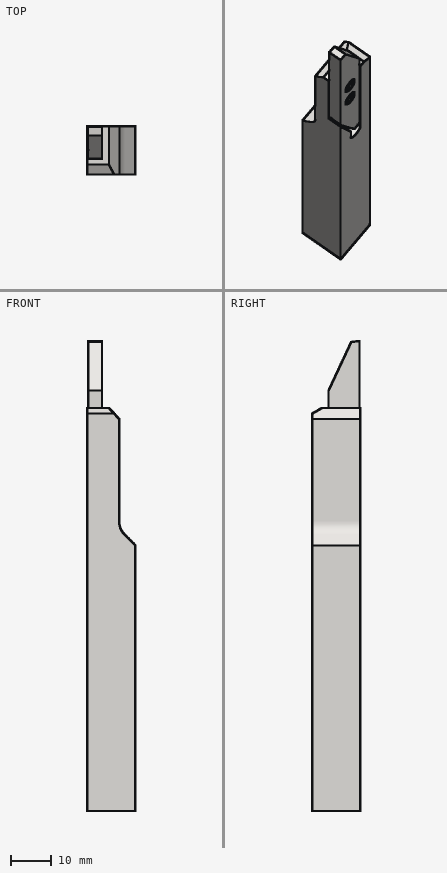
import cadquery as cq
import math

SHANK_SIDE = 12.0
SHANK_HEIGHT = 100.0
NECK_WIDTH = 8.0
SHOULDER_BOTTOM = 65.9
SHOULDER_RADIUS = 4.5
SHOULDER_ANGLE = math.radians(45)
TOP_CHAMFER_X = 2.6
TOP_CHAMFER_X_DROP = 2.8
TOP_CHAMFER_Y = 2.5
TOP_BEVEL_ANGLE = math.radians(30)
TOP_CHAMFER_Y_DROP = TOP_CHAMFER_Y * math.tan(TOP_BEVEL_ANGLE)

OVERALL_HEIGHT = 116.6
BLADE_LENGTH = 50.3
BLADE_WIDTH = 7.75
BLADE_THICKNESS = 3.5
BLADE_INSET = 0.25
BLADE_BACK_INSET = 0.2
BLADE_TIP_WIDTH = 2.1
BLADE_TIP_SLOPE = math.radians(7)
BLADE_END_ANGLE = math.radians(25)
BLADE_BACK_Y = SHANK_SIDE - BLADE_BACK_INSET
BLADE_FRONT_Y = BLADE_BACK_Y - BLADE_WIDTH
BLADE_BOTTOM = OVERALL_HEIGHT - BLADE_LENGTH
BLADE_END_RISE = (BLADE_WIDTH - BLADE_TIP_WIDTH) / math.tan(BLADE_END_ANGLE)

POCKET_FRONT_GAP = 0.2
POCKET_DEPTH = BLADE_INSET + BLADE_THICKNESS
POCKET_FRONT_Y = BLADE_FRONT_Y - POCKET_FRONT_GAP
POCKET_RAMP_TOP = 78.0
POCKET_RAMP_ANGLE = math.radians(22.5)
RELIEF_WIDTH = 3.9
RELIEF_SIDE_BOTTOM = 64.2
RELIEF_BOTTOM = 63.1

PIN_RADIUS = 1.9
PIN_TIP_RADIUS = 1.55
PIN_Y = (BLADE_BACK_Y + BLADE_FRONT_Y) / 2
PIN_TOP_Z = 95.0
PIN_SPACING = 7.5


def make_shank():
    """Square bar narrowed above a sloped shoulder and bevelled on the +X and -Y sides of its top."""
    arc_end_x = NECK_WIDTH + SHOULDER_RADIUS * (1 - math.cos(SHOULDER_ANGLE))
    arc_end_z = SHOULDER_BOTTOM + (SHANK_SIDE - arc_end_x) * math.tan(SHOULDER_ANGLE)
    arc_start_z = arc_end_z + SHOULDER_RADIUS * math.sin(SHOULDER_ANGLE)
    arc_mid_x = NECK_WIDTH + SHOULDER_RADIUS * (1 - math.cos(SHOULDER_ANGLE / 2))
    arc_mid_z = arc_start_z - SHOULDER_RADIUS * math.sin(SHOULDER_ANGLE / 2)
    bar = (
        cq.Workplane("XZ")
        .lineTo(SHANK_SIDE, 0)
        .lineTo(SHANK_SIDE, SHOULDER_BOTTOM)
        .lineTo(arc_end_x, arc_end_z)
        .threePointArc((arc_mid_x, arc_mid_z), (NECK_WIDTH, arc_start_z))
        .lineTo(NECK_WIDTH, SHANK_HEIGHT - TOP_CHAMFER_X_DROP)
        .lineTo(NECK_WIDTH - TOP_CHAMFER_X, SHANK_HEIGHT)
        .lineTo(0, SHANK_HEIGHT)
        .close()
        .extrude(-SHANK_SIDE)
    )
    bevel = (
        cq.Workplane("YZ")
        .moveTo(0, SHANK_HEIGHT)
        .lineTo(TOP_CHAMFER_Y, SHANK_HEIGHT)
        .lineTo(0, SHANK_HEIGHT - TOP_CHAMFER_Y_DROP)
        .close()
        .extrude(SHANK_SIDE)
    )
    return bar.cut(bevel)


def make_pocket():
    """Recess in the -X face: a ramp down from the +Y side into a round-bottomed relief."""
    relief_back_y = POCKET_FRONT_Y + RELIEF_WIDTH
    relief_mid_y = POCKET_FRONT_Y + RELIEF_WIDTH / 2
    ramp_foot_z = POCKET_RAMP_TOP - (SHANK_SIDE - relief_back_y) / math.tan(POCKET_RAMP_ANGLE)
    return (
        cq.Workplane("YZ")
        .moveTo(POCKET_FRONT_Y, SHANK_HEIGHT)
        .lineTo(SHANK_SIDE, SHANK_HEIGHT)
        .lineTo(SHANK_SIDE, POCKET_RAMP_TOP)
        .lineTo(relief_back_y, ramp_foot_z)
        .lineTo(relief_back_y, RELIEF_SIDE_BOTTOM)
        .threePointArc((relief_mid_y, RELIEF_BOTTOM), (POCKET_FRONT_Y, RELIEF_SIDE_BOTTOM))
        .close()
        .extrude(POCKET_DEPTH)
    )


def make_blade():
    """Flat blade with its two opposite corners cut off and its tip falling toward -Y."""
    tip_front_z = OVERALL_HEIGHT - BLADE_TIP_WIDTH * math.tan(BLADE_TIP_SLOPE)
    return (
        cq.Workplane("YZ", origin=(BLADE_INSET, 0, 0))
        .moveTo(BLADE_BACK_Y, OVERALL_HEIGHT)
        .lineTo(BLADE_BACK_Y - BLADE_TIP_WIDTH, tip_front_z)
        .lineTo(BLADE_FRONT_Y, tip_front_z - BLADE_END_RISE)
        .lineTo(BLADE_FRONT_Y, BLADE_BOTTOM)
        .lineTo(BLADE_FRONT_Y + BLADE_TIP_WIDTH, BLADE_BOTTOM)
        .lineTo(BLADE_BACK_Y, BLADE_BOTTOM + BLADE_END_RISE)
        .close()
        .extrude(BLADE_THICKNESS)
    )


def make_pin(z):
    """Conical pin end, wide at the blade and narrowing toward -X."""
    base = cq.Vector(BLADE_INSET, PIN_Y, z)
    return cq.Solid.makeCone(PIN_RADIUS, PIN_TIP_RADIUS, BLADE_INSET, base, cq.Vector(-1, 0, 0))


result = make_shank().cut(make_pocket()).union(make_blade())
for pin_z in (PIN_TOP_Z, PIN_TOP_Z - PIN_SPACING):
    result = result.union(cq.Workplane(make_pin(pin_z)))